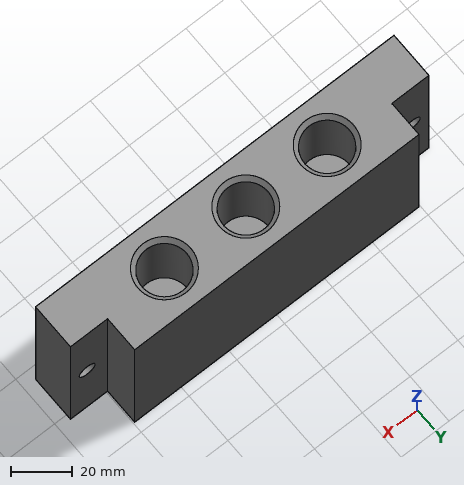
import cadquery as cq

length = 150.0
depth = 32.0
height = 65.0
ear_thickness = 18.0
block_length = 119.0

bore_diameter = 18.6
bore_mouth_diameter = 22.0
bore_chamfer = (bore_mouth_diameter - bore_diameter) / 2
bore_pitch = 34.0
bore_count = 3
bore_depth = height / 2

mount_diameter = 6.6
mount_spacing = 136.0


def full_height_box(box_length, box_depth):
    """Full-height box centred on X, with its front face on Y = 0 and its base on Z = 0."""
    return cq.Workplane("XY").box(box_length, box_depth, height, centered=(True, False, False))


def make_body():
    plate = full_height_box(length, ear_thickness)
    block = full_height_box(block_length, depth)
    return plate.union(block)


def make_bores():
    """Straight bores, as solids to cut away from the top face."""
    return (
        cq.Workplane("XY", origin=(0, depth / 2, height))
        .rarray(bore_pitch, 1.5, bore_count, 1)
        .circle(bore_diameter / 2)
        .extrude(-bore_depth)
    )


def make_bore_mouths():
    """Cones that widen each bore to its mouth diameter at the top face."""
    mouth_radius = bore_mouth_diameter / 2
    cone = cq.Solid.makeCone(bore_diameter / 2, mouth_radius, bore_chamfer)
    return (
        cq.Workplane("XY", origin=(0, depth / 2, height - bore_chamfer))
        .rarray(bore_pitch, 1.5, bore_count, 1)
        .eachpoint(lambda location: cone.moved(location))
    )


def make_mount_holes():
    return (
        cq.Workplane("XZ", origin=(0, 0, height / 2))
        .rarray(mount_spacing, 1.5, 2, 1)
        .circle(mount_diameter / 2)
        .extrude(-ear_thickness)
    )


result = make_body().cut(make_bores()).cut(make_bore_mouths()).cut(make_mount_holes())